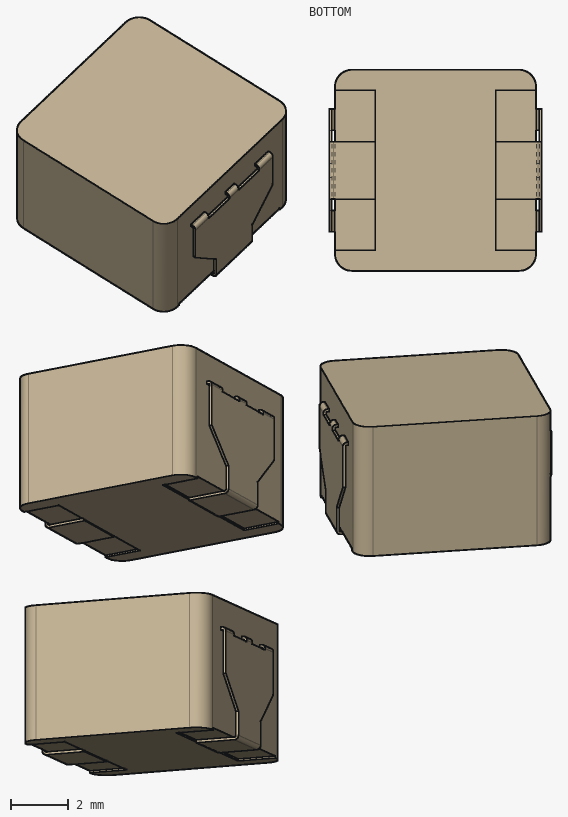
import cadquery as cq

overall_length = 7.4
overall_height = 4.8
body_side = 7.0
corner_radius = 0.6
standoff = 0.03

sheet = 0.1
bend_radius = 0.15
lead_height = 3.795
pad_length = 1.6
neck_width = 2.0
plate_width = 4.28
neck_top = 1.0
shoulder_top = 2.145
notch_floor = 3.6
side_tab_width = 0.75
middle_tab_width = 0.495

recess_width = 5.55

outer_x = overall_length / 2
body_x = body_side / 2
pad_end_x = outer_x - pad_length


def make_body():
    """Rounded square block with a shallow bottom recess open to each lead side."""
    body = (
        cq.Workplane("XY")
        .workplane(offset=standoff)
        .rect(body_side, body_side)
        .extrude(overall_height - standoff)
        .edges("|Z")
        .fillet(corner_radius)
    )
    recess_length = body_x - pad_end_x
    recess_centre = (body_x + pad_end_x) / 2
    for side in (-1, 1):
        recess = cq.Workplane("XY").box(
            recess_length, recess_width, sheet, centered=(True, True, False)
        )
        body = body.cut(recess.translate((side * recess_centre, 0, 0)))
    return body


def make_bent_strip():
    """C-shaped strip: foot under the body, upright wall and top flange meeting the body."""
    flange_length = outer_x - body_x
    outside = (
        cq.Workplane("XZ")
        .rect(pad_length, lead_height)
        .extrude(plate_width / 2, both=True)
        .translate((-outer_x + pad_length / 2, 0, lead_height / 2))
        .edges("|Y and <X")
        .fillet(bend_radius)
    )
    inside = (
        cq.Workplane("XZ")
        .rect(pad_length, lead_height - 2 * sheet)
        .extrude(plate_width / 2, both=True)
        .translate((-outer_x + sheet + pad_length / 2, 0, lead_height / 2))
        .edges("|Y and <X")
        .fillet(bend_radius - sheet)
    )
    past_flange = (
        cq.Workplane("XY")
        .box(pad_length, plate_width, lead_height, centered=(False, True, False))
        .translate((-outer_x + flange_length, 0, sheet))
    )
    return outside.cut(inside).cut(past_flange)


def make_lead_outline():
    """Face shape of the lead: narrow neck, sloped shoulders, and three top tabs."""
    half_neck = neck_width / 2
    half_plate = plate_width / 2
    half_middle = middle_tab_width / 2
    side_tab_inner = half_plate - side_tab_width
    right_half = [
        (half_neck, 0),
        (half_neck, neck_top),
        (half_plate, shoulder_top),
        (half_plate, lead_height),
        (side_tab_inner, lead_height),
        (side_tab_inner, notch_floor),
        (half_middle, notch_floor),
        (half_middle, lead_height),
    ]
    left_half = [(-y, z) for y, z in reversed(right_half)]
    return (
        cq.Workplane("YZ")
        .polyline(right_half + left_half)
        .close()
        .extrude(pad_length)
        .translate((-outer_x, 0, 0))
    )


left_lead = make_bent_strip().intersect(make_lead_outline())
right_lead = left_lead.mirror("YZ")
result = make_body().union(left_lead).union(right_lead)